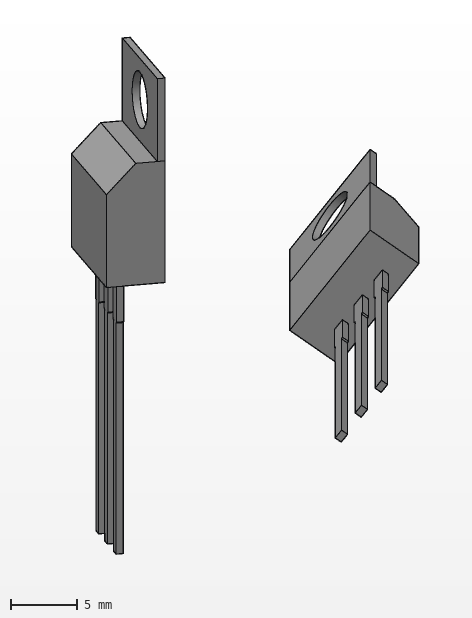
import cadquery as cq

TOTAL_HEIGHT = 38.35
BODY_WIDTH = 10.2
BODY_DEPTH = 4.6

TAB_HEIGHT = 6.6
TAB_THICKNESS = 0.6
TAB_HOLE_DIAMETER = 4.4

HOUSING_HEIGHT = 9.7
HOUSING_CHAMFER = 2.3

LEAD_COUNT = 3
LEAD_PITCH = 2.55
LEAD_THICKNESS = 0.58
LEAD_BACK_OFFSET = 2.7
SHOULDER_WIDTH = 1.05
SHOULDER_LENGTH = 3.53
SHOULDER_TAPER = 0.1
LEAD_WIDTH = 0.8

BACK_Y = BODY_DEPTH / 2
FRONT_Y = -BODY_DEPTH / 2
LEAD_LENGTH = TOTAL_HEIGHT - TAB_HEIGHT - HOUSING_HEIGHT
LEAD_BACK_Y = BACK_Y - LEAD_BACK_OFFSET


def make_housing():
    """Block with a sloped upper front edge."""
    return (
        cq.Workplane("YZ")
        .moveTo(BACK_Y, 0)
        .lineTo(BACK_Y, HOUSING_HEIGHT)
        .lineTo(FRONT_Y + HOUSING_CHAMFER, HOUSING_HEIGHT)
        .lineTo(FRONT_Y, HOUSING_HEIGHT - HOUSING_CHAMFER)
        .lineTo(FRONT_Y, 0)
        .close()
        .extrude(BODY_WIDTH / 2, both=True)
    )


def make_tab():
    """Mounting plate on the housing top, flush with its back, with a central hole."""
    return (
        cq.Workplane("XZ", origin=(0, BACK_Y, HOUSING_HEIGHT + TAB_HEIGHT / 2))
        .rect(BODY_WIDTH, TAB_HEIGHT)
        .circle(TAB_HOLE_DIAMETER / 2)
        .extrude(TAB_THICKNESS)
    )


def make_lead(center_x):
    """Flat lead below the housing, narrowing from a wide shoulder to a thin leg."""
    return (
        cq.Workplane("XZ", origin=(center_x, LEAD_BACK_Y, 0))
        .moveTo(-SHOULDER_WIDTH / 2, 0)
        .lineTo(-SHOULDER_WIDTH / 2, -SHOULDER_LENGTH)
        .lineTo(-LEAD_WIDTH / 2, -SHOULDER_LENGTH - SHOULDER_TAPER)
        .lineTo(-LEAD_WIDTH / 2, -LEAD_LENGTH)
        .lineTo(LEAD_WIDTH / 2, -LEAD_LENGTH)
        .lineTo(LEAD_WIDTH / 2, -SHOULDER_LENGTH - SHOULDER_TAPER)
        .lineTo(SHOULDER_WIDTH / 2, -SHOULDER_LENGTH)
        .lineTo(SHOULDER_WIDTH / 2, 0)
        .close()
        .extrude(LEAD_THICKNESS)
    )


housing = make_housing()
tab = make_tab()
leads = [make_lead((i - (LEAD_COUNT - 1) / 2) * LEAD_PITCH) for i in range(LEAD_COUNT)]

result = cq.Compound.makeCompound([housing.val(), tab.val(), *[lead.val() for lead in leads]])